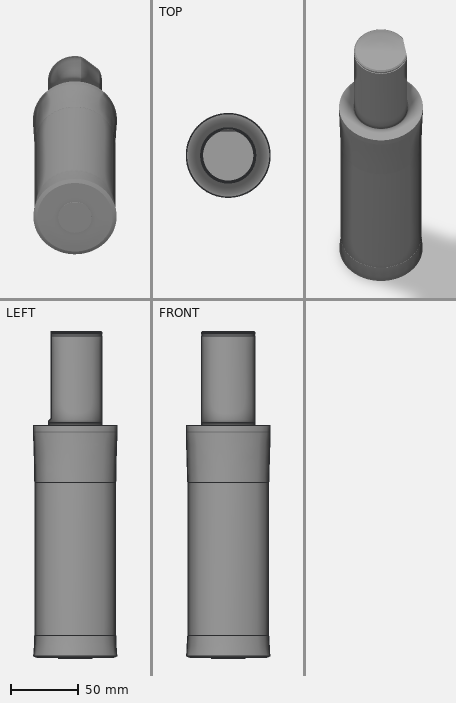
import cadquery as cq

total_height = 243.0
collar_diameter = 62.5
cone_end_diameter = 60.3
tube_diameter = 60.0
foot_diameter = 62.0
rod_diameter = 40.0
bore_diameter = 39.5

base_pad_diameter = 25.0
base_pad_height = 0.5
base_chamfer_height = 1.2
base_chamfer_width = 3.0
foot_top = 16.8
tube_top = 130.7
collar_bottom = 168.2
housing_top = 173.3
bore_chamfer = 0.7

rod_chamfer = 1.0
groove_inset = 2.0
groove_depth = 0.5
groove_width = 1.2
groove_top = total_height - groove_inset
flat_offset = 18.0
flat_clearance = 3.0
flat_bottom = housing_top + flat_clearance
neck_length = 2.0
neck_top = housing_top + neck_length

seat_depth = 24.3
seat_floor = housing_top - seat_depth

collar_radius = collar_diameter / 2
cone_end_radius = cone_end_diameter / 2
tube_radius = tube_diameter / 2
foot_radius = foot_diameter / 2
base_pad_radius = base_pad_diameter / 2
rod_radius = rod_diameter / 2
bore_radius = bore_diameter / 2
neck_chamfer = rod_radius - bore_radius


def make_housing():
    """Turned housing: low base pad, flared foot, straight tube, tapered neck, bored collar."""
    outline = (
        cq.Workplane("XZ")
        .lineTo(base_pad_radius, 0)
        .lineTo(base_pad_radius, base_pad_height)
        .lineTo(foot_radius - base_chamfer_width, base_pad_height)
        .lineTo(foot_radius, base_pad_height + base_chamfer_height)
        .lineTo(cone_end_radius, foot_top)
        .lineTo(tube_radius, foot_top)
        .lineTo(tube_radius, tube_top)
        .lineTo(cone_end_radius, tube_top)
        .lineTo(collar_radius, collar_bottom)
        .lineTo(collar_radius, housing_top)
        .lineTo(bore_radius + bore_chamfer, housing_top)
        .lineTo(bore_radius, housing_top - bore_chamfer)
        .lineTo(bore_radius, seat_floor)
        .lineTo(0, seat_floor)
        .close()
    )
    return outline.revolve(360, (0, 0, 0), (0, 1, 0))


def make_flat_cutter():
    """Block that mills the +Y flat, with a 45 degree run-out at its lower end."""
    reach = 2 * (rod_radius - flat_offset)
    return (
        cq.Workplane("YZ")
        .moveTo(flat_offset, flat_bottom + reach / 2)
        .lineTo(flat_offset + reach, flat_bottom - reach / 2)
        .lineTo(flat_offset + reach, total_height)
        .lineTo(flat_offset, total_height)
        .close()
        .extrude(rod_radius, both=True)
    )


def make_rod():
    """Rod with a chamfered and grooved end, a thinner neck in the bore and a +Y flat."""
    groove_radius = rod_radius - groove_depth
    outline = (
        cq.Workplane("XZ")
        .moveTo(0, seat_floor)
        .lineTo(bore_radius, seat_floor)
        .lineTo(bore_radius, neck_top - neck_chamfer)
        .lineTo(rod_radius, neck_top)
        .lineTo(rod_radius, groove_top - groove_width)
        .lineTo(groove_radius, groove_top - groove_width)
        .lineTo(groove_radius, groove_top)
        .lineTo(rod_radius, groove_top)
        .lineTo(rod_radius, total_height - rod_chamfer)
        .lineTo(rod_radius - rod_chamfer, total_height)
        .lineTo(0, total_height)
        .close()
    )
    rod = outline.revolve(360, (0, 0, 0), (0, 1, 0))
    return rod.cut(make_flat_cutter())


housing = make_housing()
rod = make_rod()

result = cq.Compound.makeCompound([housing.val(), rod.val()])